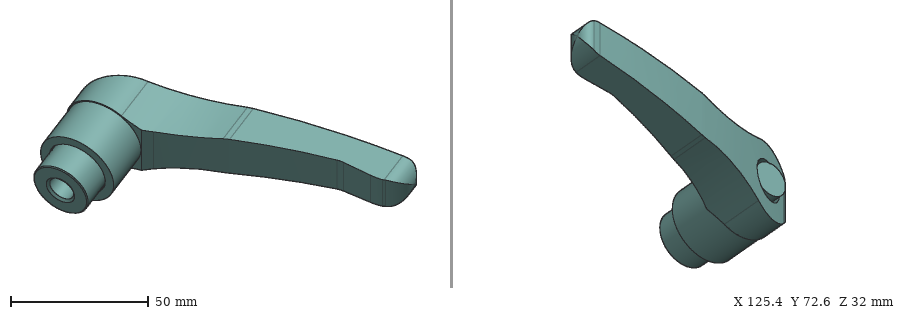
import cadquery as cq
import math


insert_dia = 23.0
insert_chamfer = 0.4
insert_top_y = 49.0
head_dia = 14.3
thread_dia = 10.11
thread_chamfer_dia = 12.0
thread_depth = 24.0
drill_point_angle = 118.0

boss_dia = 31.0
boss_bottom_y = 12.0
hub_bottom_y = 31.5
hub_radius = 16.0
hub_flat_x = -boss_dia / 2
hub_edge_radius = 6.8
recess_dia = 23.7
recess_depth = 1.0
head_pocket_dia = 16.5

tip_x = 109.9
arm_top_y = 72.63
back_start = (hub_flat_x, 41.2)
back_middle = (44.9, 62.5)
back_end = (102.4, 72.3)
nose_top = (105.6, arm_top_y)
nose_radius = 4.3
nose_side = (tip_x, arm_top_y - nose_radius)
nose_under_end = (102.9, 59.1)
nose_under_start = (101.8, 58.65)
grip_flat_y = 58.1
grip_flat_start_x = 84.4
grip_flat_end_x = 97.0
grip_blend_radius = 11.0
belly_end = (grip_flat_start_x, grip_flat_y)
belly_middle = (52.3, 48.2)
belly_start = (19.6, 33.7)
belly_root_x = 15.8

neck_start_x = 7.25
waist = (31.8, 9.03)
shoulder_start = (42.7, 9.55)
shoulder_end = (44.9, 9.6)
tip_radius = 7.5
tip_centre_x = tip_x - tip_radius


def cylinder(diameter, start_y, end_y):
    """Cylinder on the Y axis between two heights."""
    plane = cq.Workplane("XZ", origin=(0, start_y, 0))
    return plane.circle(diameter / 2).extrude(start_y - end_y)


def make_arm_profile():
    """Side shape of hub and arm, as a slab thick enough to hold the hub."""
    diagonal = nose_radius * math.sqrt(0.5)
    nose_middle = (nose_top[0] + diagonal, nose_side[1] + diagonal)
    under_run = nose_side[0] - nose_under_end[0]
    under_rise = nose_side[1] - nose_under_end[1]
    under_radius = (under_run**2 + under_rise**2) / (2 * under_run)
    slab = (
        cq.Workplane("XY", origin=(0, 0, -hub_radius))
        .moveTo(hub_flat_x, hub_bottom_y)
        .lineTo(belly_root_x, hub_bottom_y)
        .lineTo(*belly_start)
        .threePointArc(belly_middle, belly_end)
        .lineTo(grip_flat_end_x, grip_flat_y)
        .tangentArcPoint(nose_under_start, relative=False)
        .lineTo(*nose_under_end)
        .radiusArc(nose_side, -under_radius)
        .threePointArc(nose_middle, nose_top)
        .lineTo(*back_end)
        .threePointArc(back_middle, back_start)
        .close()
        .extrude(2 * hub_radius)
    )
    slab = slab.edges(cq.NearestToPointSelector((*back_start, 0))).fillet(hub_edge_radius)
    return slab.edges(cq.NearestToPointSelector((*belly_end, 0))).fillet(grip_blend_radius)


def make_arm_outline():
    """Plan shape of hub and arm, mirrored about Z = 0: round hub, waist, taper, round tip."""
    neck_start = (neck_start_x, math.sqrt(hub_radius**2 - neck_start_x**2))
    tip_start = (tip_centre_x, tip_radius)

    def mirrored(point):
        return (point[0], -point[1])

    return (
        cq.Workplane("XZ")
        .moveTo(*neck_start)
        .threePointArc(waist, shoulder_start)
        .lineTo(*shoulder_end)
        .lineTo(*tip_start)
        .threePointArc((tip_x, 0), mirrored(tip_start))
        .lineTo(*mirrored(shoulder_end))
        .lineTo(*mirrored(shoulder_start))
        .threePointArc(mirrored(waist), mirrored(neck_start))
        .threePointArc((-hub_radius, 0), neck_start)
        .close()
        .extrude(-2 * arm_top_y)
    )


def make_insert():
    """Stepped insert: chamfered lower barrel and a narrower head at the top."""
    barrel = cylinder(insert_dia, 0, hub_bottom_y).faces("<Y").chamfer(insert_chamfer)
    return barrel.union(cylinder(head_dia, 0, insert_top_y))


def make_threaded_hole():
    """Blind hole with a 45 degree mouth chamfer and a conical drill point."""
    radius = thread_dia / 2
    mouth_radius = thread_chamfer_dia / 2
    point_depth = radius / math.tan(math.radians(drill_point_angle / 2))
    return (
        cq.Workplane("XY")
        .moveTo(0, 0)
        .lineTo(mouth_radius, 0)
        .lineTo(radius, mouth_radius - radius)
        .lineTo(radius, thread_depth)
        .lineTo(0, thread_depth + point_depth)
        .close()
        .revolve(360, (0, 0, 0), (0, 1, 0))
    )


lever = make_arm_profile().intersect(make_arm_outline())
lever = lever.union(cylinder(boss_dia, boss_bottom_y, hub_bottom_y))
lever = lever.cut(cylinder(head_pocket_dia, hub_bottom_y, arm_top_y))
lever = lever.cut(cylinder(recess_dia, boss_bottom_y, boss_bottom_y + recess_depth))
result = lever.union(make_insert()).cut(make_threaded_hole())